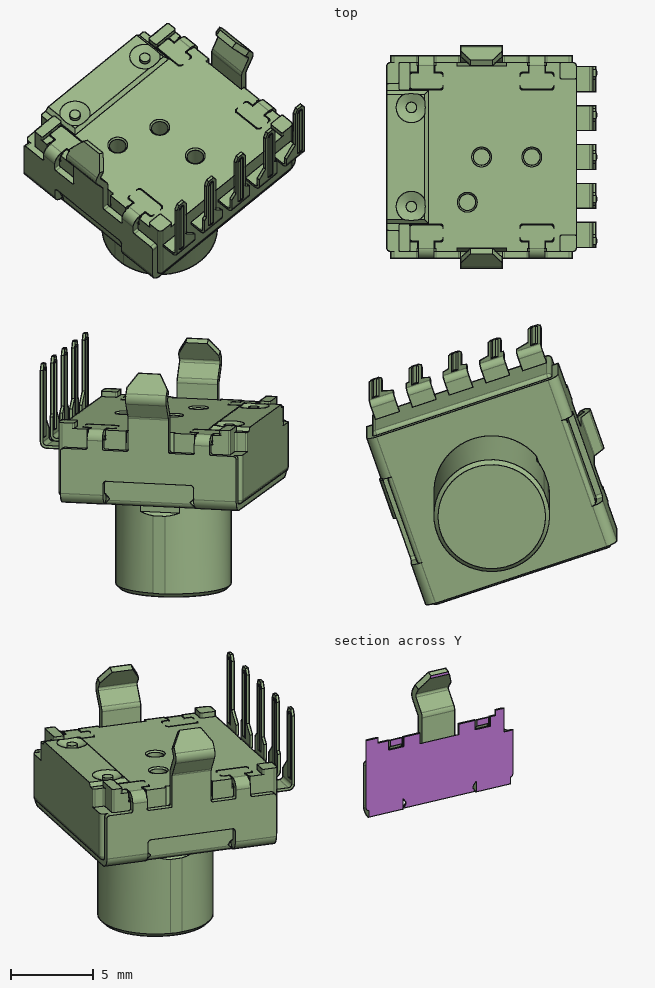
import math

import cadquery as cq


BODY_LENGTH = 11.5
BODY_WIDTH = 11.46
BODY_TOP = 4.6
EDGE_RADIUS = 0.25

SHEET = 0.4
SHELL_LENGTH = 11.0
SHELL_TOP = 3.43
SHELL_CORNER_RADIUS = 0.2
ROOT_RADIUS = 0.12
SHELL_BEND = EDGE_RADIUS + SHEET
BODY_BOTTOM = SHEET
BODY_SIDE = BODY_WIDTH / 2
SHELL_SIDE = BODY_SIDE + SHEET

RECESS_LENGTH = 5.66
RECESS_TOP = 1.52
RECESS_DEPTH = 0.4
RECESS_CORNER_RADIUS = 0.2
RECESS_EDGE_RADIUS = 0.29
END_CONE_RADIUS = 0.32
END_CONE_HEIGHT = 0.38

TAB_POSITIONS = (-3.35, 3.35)
TAB_NECK_WIDTH = 0.95
TAB_HEAD_WIDTH = 2.05
TAB_HEAD_OUTER_Y = 5.09
TAB_HEAD_INNER_Y = 4.11
TAB_BEND = 0.6
TAB_CORNER_RADIUS = 0.22
TAB_SEAT_CORNER_RADIUS = 0.15
TAB_GAP = 0.05
TAB_SLOT_CLEARANCE = 0.1

SNAP_WIDTH = 2.53
SNAP_KNEE_HEIGHT = 5.48
SNAP_KNEE_RADIUS = 0.2
SNAP_BEND_HEIGHT = 6.75
SNAP_BEND_RADIUS = 0.6
SNAP_REACH = 6.75
SNAP_TIP_HEIGHT = 8.24
SNAP_TIP_ANGLE = 34
SNAP_TIP_WIDTH = 1.35
SNAP_TIP_TAPER_HEIGHT = 0.82
SNAP_RELIEF_WIDTH = 3.0
SNAP_RELIEF_DEPTH = 0.23

PLATFORM_HEIGHT = 0.23
PLATFORM_CHAMFER_MARGIN = 0.001
PLATFORM_LENGTH = 2.53
PLATFORM_WIDTH = 8.04

FOOT_TOP = 4.93
FOOT_CORNER_RADIUS = 0.1
REAR_FOOT_SIZE = 1.0
FRONT_FOOT_X = (-5.0, -4.33)
FRONT_FOOT_INNER_Y = 4.05

NOTCH_INNER_Y = 4.44
NOTCH_RADIUS = 0.12

DIMPLE_CENTRES = ((-4.25, 3.0), (-4.25, -3.0))
DIMPLE_RADIUS = 0.92
DIMPLE_DEPTH = 0.3
DIMPLE_PIN_RADIUS = 0.32
DIMPLE_PIN_DROP = 0.08

HOLE_CENTRES = ((0.0, 0.0), (3.04, 0.0), (-0.86, -2.74))
HOLE_RADIUS = 0.5
HOLE_CHAMFER = 0.1
HOLE_DEPTH = 1.5

SHAFT_RADIUS = 3.5
SHAFT_LENGTH = 6.0
SHAFT_CHAMFER = 0.25
SHAFT_FLAT_Y = 3.28
SHAFT_FLAT_LENGTH = 0.78
SHAFT_LAND_Y = 3.48

PIN_COUNT = 5
PIN_BASE_PITCH = 2.35
PIN_TIP_PITCH = 2.54
PIN_BASE_WIDTH = 1.52
PIN_WIDTH = 0.8
PIN_TIP_WIDTH = 0.43
PIN_TIP_TAPER = 0.37
PIN_THICKNESS = 0.18
PIN_BOTTOM = 3.25
PIN_TOP = 8.4
PIN_OUTER_X = 6.92
PIN_BEND = 0.4
PIN_SHOULDER_TOP = 4.9
PIN_ROOT_X = 5.5

RIB_BOTTOM = 3.88
RIB_TOP = 8.15
RIB_HEIGHT = 0.06
GROOVE_WIDTH = 0.5
GROOVE_FLOOR_WIDTH = 0.2
RIDGE_WIDTH = 0.44


def box(x_range, y_range, z_range):
    """Box between two limits on each axis."""
    lower = (x_range[0], y_range[0], z_range[0])
    size = [limits[1] - limits[0] for limits in (x_range, y_range, z_range)]
    return cq.Workplane("XY").box(*size, centered=False).translate(lower)


def centred(width, middle=0.0):
    """Limits of a span of the given width."""
    return (middle - width / 2, middle + width / 2)


def extrude_along_x(profile, x_range):
    """Extrude a closed YZ profile between two X limits."""
    return profile.extrude(x_range[1] - x_range[0]).translate((x_range[0], 0, 0))


def both_sides(solid):
    """Pair a feature of the +Y side with its mirror image."""
    return solid.union(solid.mirror("XZ"))


def make_body():
    """Rounded block with the raised platform and corner feet, before any cuts."""
    half_length = BODY_LENGTH / 2
    block = box(centred(BODY_LENGTH), centred(BODY_WIDTH), (BODY_BOTTOM, BODY_TOP))
    block = block.edges("|Z or <Z").fillet(EDGE_RADIUS)
    platform = box(
        (-half_length, PLATFORM_LENGTH - half_length),
        centred(PLATFORM_WIDTH),
        (BODY_TOP, BODY_TOP + PLATFORM_HEIGHT),
    )
    platform = platform.faces(">Z").edges("not <X").chamfer(PLATFORM_HEIGHT - PLATFORM_CHAMFER_MARGIN)
    rear_foot = box(
        (half_length - REAR_FOOT_SIZE, half_length),
        (BODY_SIDE - REAR_FOOT_SIZE, BODY_SIDE),
        (BODY_TOP - EDGE_RADIUS, FOOT_TOP),
    )
    rear_foot = rear_foot.edges("|Z and (not (>X and >Y))").fillet(FOOT_CORNER_RADIUS)
    rear_foot = rear_foot.edges("|Z and >X and >Y").fillet(EDGE_RADIUS)
    front_foot = box(FRONT_FOOT_X, (FRONT_FOOT_INNER_Y, BODY_SIDE), (BODY_TOP - EDGE_RADIUS, FOOT_TOP))
    front_foot = front_foot.edges("|Z").fillet(FOOT_CORNER_RADIUS)
    return block.union(platform).union(both_sides(rear_foot.union(front_foot)))


def corner_notch():
    """Cutter for the -X, +Y body corner, rounded where it meets the body sides."""
    outside = -BODY_LENGTH / 2
    inner_x = FRONT_FOOT_X[0]
    radius = NOTCH_RADIUS
    profile = (
        cq.Workplane("XY")
        .moveTo(outside, NOTCH_INNER_Y - radius)
        .radiusArc((outside + radius, NOTCH_INNER_Y), radius)
        .lineTo(inner_x - radius, NOTCH_INNER_Y)
        .radiusArc((inner_x, NOTCH_INNER_Y + radius), -radius)
        .lineTo(inner_x, BODY_SIDE - FOOT_CORNER_RADIUS)
        .radiusArc((inner_x + FOOT_CORNER_RADIUS, BODY_SIDE), FOOT_CORNER_RADIUS)
        .lineTo(inner_x + FOOT_CORNER_RADIUS, BODY_WIDTH)
        .lineTo(2 * outside, BODY_WIDTH)
        .lineTo(2 * outside, NOTCH_INNER_Y - radius)
        .close()
    )
    return profile.extrude(FOOT_TOP - SHELL_TOP).translate((0, 0, SHELL_TOP))


def snap_relief():
    """Sloping cutter that clears the body side behind a snap arm."""
    profile = (
        cq.Workplane("YZ")
        .moveTo(BODY_SIDE, SHELL_TOP)
        .lineTo(BODY_SIDE, BODY_TOP)
        .lineTo(BODY_SIDE - SNAP_RELIEF_DEPTH, BODY_TOP)
        .close()
    )
    return extrude_along_x(profile, centred(SNAP_RELIEF_WIDTH))


def tab_seat(x):
    """Cutter for the pocket and side slot that receive one folded tab."""
    head = box(
        centred(TAB_HEAD_WIDTH, x),
        (TAB_HEAD_INNER_Y - TAB_GAP, TAB_HEAD_OUTER_Y + TAB_GAP),
        (BODY_TOP - SHEET, BODY_TOP),
    )
    head = head.edges("|Z").fillet(TAB_SEAT_CORNER_RADIUS)
    neck = box(
        centred(TAB_NECK_WIDTH + 2 * TAB_GAP, x),
        (TAB_HEAD_OUTER_Y, BODY_SIDE),
        (BODY_TOP - SHEET, BODY_TOP),
    )
    slot = box(
        centred(TAB_NECK_WIDTH + 2 * TAB_SLOT_CLEARANCE, x),
        (SHELL_SIDE - TAB_BEND, BODY_SIDE),
        (BODY_TOP - TAB_BEND, BODY_TOP),
    )
    return head.union(neck).union(slot)


def make_dimple(x, y):
    """Conical cutter that leaves a round pin standing in its middle."""
    top = BODY_TOP + PLATFORM_HEIGHT
    profile = (
        cq.Workplane("XZ")
        .moveTo(DIMPLE_PIN_RADIUS, top - DIMPLE_DEPTH)
        .lineTo(DIMPLE_RADIUS, top)
        .lineTo(0, top)
        .lineTo(0, top - DIMPLE_PIN_DROP)
        .lineTo(DIMPLE_PIN_RADIUS, top - DIMPLE_PIN_DROP)
        .close()
    )
    return profile.revolve(360, (0, 0, 0), (0, 1, 0)).translate((x, y, 0))


def make_hole(x, y):
    """Cutter for a blind hole with a chamfered rim."""
    profile = (
        cq.Workplane("XZ")
        .moveTo(0, BODY_TOP)
        .lineTo(HOLE_RADIUS + HOLE_CHAMFER, BODY_TOP)
        .lineTo(HOLE_RADIUS, BODY_TOP - HOLE_CHAMFER)
        .lineTo(HOLE_RADIUS, BODY_TOP - HOLE_DEPTH)
        .lineTo(0, BODY_TOP - HOLE_DEPTH)
        .close()
    )
    return profile.revolve(360, (0, 0, 0), (0, 1, 0)).translate((x, y, 0))


def cut_body(body):
    """Cut the notches, tab seats, dimples and holes."""
    side_cuts = corner_notch().union(snap_relief())
    for x in TAB_POSITIONS:
        side_cuts = side_cuts.union(tab_seat(x))
    body = body.cut(both_sides(side_cuts))
    for centre in DIMPLE_CENTRES:
        body = body.cut(make_dimple(*centre))
    for centre in HOLE_CENTRES:
        body = body.cut(make_hole(*centre))
    return body


def make_recess():
    """Cutter along the lower edge of the +Y shell side; a half cone deepens each end."""
    floor_y = SHELL_SIDE - RECESS_DEPTH
    radius = RECESS_EDGE_RADIUS
    block = box(centred(RECESS_LENGTH), (floor_y - radius, SHELL_SIDE), (0, RECESS_TOP))
    block = block.edges("|Y and >Z").fillet(RECESS_CORNER_RADIUS)
    kept = box(centred(RECESS_LENGTH), (floor_y - 2 * radius, floor_y), (0, 2 * RECESS_TOP))
    kept = kept.edges("|X and >Y and <Z").fillet(radius)
    recess = block.cut(kept)
    for side in (-1, 1):
        base = cq.Vector(side * RECESS_LENGTH / 2, floor_y, END_CONE_HEIGHT)
        inward = cq.Vector(-side, 0, 0)
        cone = cq.Solid.makeCone(END_CONE_RADIUS, 0, END_CONE_RADIUS, base, inward)
        recess = recess.union(cq.Workplane(cone))
    return recess


def fold_tab(x):
    """T-shaped tab that rises from the +Y shell side and folds over the body top."""
    bend_y = SHELL_SIDE - TAB_BEND
    bend_z = BODY_TOP - TAB_BEND
    inner_bend = TAB_BEND - SHEET
    neck = (
        cq.Workplane("YZ")
        .moveTo(SHELL_SIDE, SHELL_TOP)
        .lineTo(SHELL_SIDE, bend_z)
        .radiusArc((bend_y, BODY_TOP), -TAB_BEND)
        .lineTo(TAB_HEAD_OUTER_Y, BODY_TOP)
        .lineTo(TAB_HEAD_OUTER_Y, BODY_TOP - SHEET)
        .lineTo(bend_y, BODY_TOP - SHEET)
        .radiusArc((bend_y + inner_bend, bend_z), inner_bend)
        .lineTo(BODY_SIDE, SHELL_TOP)
        .close()
    )
    head = box(
        centred(TAB_HEAD_WIDTH, x),
        (TAB_HEAD_INNER_Y, TAB_HEAD_OUTER_Y),
        (BODY_TOP - SHEET, BODY_TOP),
    )
    head = head.edges("|Z").fillet(TAB_CORNER_RADIUS)
    return extrude_along_x(neck, centred(TAB_NECK_WIDTH, x)).union(head)


def snap_arm():
    """Arm on the +Y side that leans out, bends back and ends in a tapered tip."""
    bend_y = SNAP_REACH - SNAP_BEND_RADIUS
    bend_z = SNAP_BEND_HEIGHT
    inner_radius = SNAP_BEND_RADIUS - SHEET
    knee_y = SHELL_SIDE + SNAP_KNEE_RADIUS
    knee_dy = bend_y - knee_y
    knee_dz = bend_z - SNAP_KNEE_HEIGHT
    radius_sum = SNAP_KNEE_RADIUS + SNAP_BEND_RADIUS
    lean = math.atan2(knee_dy, knee_dz) + math.asin(radius_sum / math.hypot(knee_dy, knee_dz))
    tip = math.radians(SNAP_TIP_ANGLE)

    def on_bend(radius, angle):
        return (bend_y + radius * math.cos(angle), bend_z + radius * math.sin(angle))

    def on_knee(radius):
        return (knee_y - radius * math.cos(lean), SNAP_KNEE_HEIGHT + radius * math.sin(lean))

    upper_outer = on_bend(SNAP_BEND_RADIUS, tip)
    upper_inner = on_bend(inner_radius, tip)
    tip_length = (SNAP_TIP_HEIGHT - upper_outer[1]) / math.cos(tip)
    tip_dy = -tip_length * math.sin(tip)
    tip_dz = tip_length * math.cos(tip)
    knee_inner_radius = SNAP_KNEE_RADIUS + SHEET
    profile = (
        cq.Workplane("YZ")
        .moveTo(SHELL_SIDE, SHELL_TOP)
        .lineTo(SHELL_SIDE, SNAP_KNEE_HEIGHT)
        .radiusArc(on_knee(SNAP_KNEE_RADIUS), SNAP_KNEE_RADIUS)
        .lineTo(*on_bend(SNAP_BEND_RADIUS, -lean))
        .radiusArc(upper_outer, -SNAP_BEND_RADIUS)
        .lineTo(upper_outer[0] + tip_dy, upper_outer[1] + tip_dz)
        .lineTo(upper_inner[0] + tip_dy, upper_inner[1] + tip_dz)
        .lineTo(*upper_inner)
        .radiusArc(on_bend(inner_radius, -lean), inner_radius)
        .lineTo(*on_knee(knee_inner_radius))
        .radiusArc((BODY_SIDE, SNAP_KNEE_HEIGHT), -knee_inner_radius)
        .lineTo(BODY_SIDE, SHELL_TOP)
        .close()
    )
    arm = extrude_along_x(profile, centred(SNAP_WIDTH))
    taper_length = SNAP_TIP_TAPER_HEIGHT / math.cos(tip)
    tip_inset = (SNAP_WIDTH - SNAP_TIP_WIDTH) / 2
    tip_plane = cq.Plane(
        origin=(0, upper_outer[0] + tip_dy, upper_outer[1] + tip_dz),
        xDir=(1, 0, 0),
        normal=(0, math.cos(tip), math.sin(tip)),
    )
    for side in (-1, 1):
        edge = side * SNAP_WIDTH / 2
        corner = (
            cq.Workplane(tip_plane)
            .moveTo(edge, 0)
            .lineTo(edge - side * tip_inset, 0)
            .lineTo(edge, taper_length)
            .close()
            .extrude(SHEET, both=True)
        )
        arm = arm.cut(corner)
    return arm


def round_shell_edges(shell):
    """Round the outer corners of the shell sides and the roots of the tabs and arms."""
    tolerance = 1e-4

    def rim_edges(x_middle, half_width):
        edges = []
        for edge in shell.edges("|Y").vals():
            middle = edge.Center()
            at_top = abs(middle.z - SHELL_TOP) < tolerance
            if at_top and abs(abs(middle.x - x_middle) - half_width) < tolerance:
                edges.append(edge)
        return edges

    roots = rim_edges(0, SNAP_WIDTH / 2)
    for x in TAB_POSITIONS:
        roots += rim_edges(x, TAB_NECK_WIDTH / 2)
    corners = rim_edges(0, SHELL_LENGTH / 2)
    shell = shell.newObject(roots).fillet(ROOT_RADIUS)
    return shell.newObject(corners).fillet(SHELL_CORNER_RADIUS)


def make_shell():
    """U-shaped sheet with its tabs and snap arms."""
    outer = box(centred(SHELL_LENGTH), centred(2 * SHELL_SIDE), (0, SHELL_TOP))
    outer = outer.edges("|X and <Z").fillet(SHELL_BEND)
    inner = box(centred(SHELL_LENGTH), centred(BODY_WIDTH), (SHEET, SHELL_TOP))
    inner = inner.edges("|X and <Z").fillet(EDGE_RADIUS)
    uprights = snap_arm()
    for x in TAB_POSITIONS:
        uprights = uprights.union(fold_tab(x))
    return round_shell_edges(outer.cut(inner).union(both_sides(uprights)))


def make_shaft():
    """Round shaft with a chamfered end, side flats under the shell and narrow lands below them."""
    shaft = cq.Workplane("XY").circle(SHAFT_RADIUS).extrude(-SHAFT_LENGTH)
    shaft = shaft.faces("<Z").chamfer(SHAFT_CHAMFER)
    ramp_end = SHAFT_FLAT_LENGTH + SHAFT_LAND_Y - SHAFT_FLAT_Y
    profile = (
        cq.Workplane("YZ")
        .moveTo(SHAFT_FLAT_Y, 0)
        .lineTo(SHAFT_FLAT_Y, -SHAFT_FLAT_LENGTH)
        .lineTo(SHAFT_LAND_Y, -ramp_end)
        .lineTo(SHAFT_LAND_Y, -SHAFT_LENGTH)
        .lineTo(SHAFT_RADIUS, -SHAFT_LENGTH)
        .lineTo(SHAFT_RADIUS, 0)
        .close()
    )
    return shaft.cut(both_sides(extrude_along_x(profile, centred(2 * SHAFT_RADIUS))))


def pin_rib(y, width, floor_width, face_x, depth):
    """Bar of trapezoid section with a tapered top, narrowing from face_x along X."""

    def outline(bar_width):
        half = bar_width / 2
        return [
            (y - half, RIB_BOTTOM),
            (y + half, RIB_BOTTOM),
            (y + half, RIB_TOP - half),
            (y + half / 2, RIB_TOP),
            (y - half / 2, RIB_TOP),
            (y - half, RIB_TOP - half),
        ]

    face = cq.Workplane("YZ", origin=(face_x, 0, 0)).polyline(outline(width)).close()
    return face.workplane(offset=depth).polyline(outline(floor_width)).close().loft(ruled=True)


def pin_edge(base_y, tip_y, side):
    """Points up one edge of a pin; the shoulder exists only where the foot is wider than the blade."""
    foot_edge = base_y + side * PIN_BASE_WIDTH / 2
    blade_edge = tip_y + side * PIN_WIDTH / 2
    shoulder = side * (foot_edge - blade_edge)
    blade = [
        (blade_edge, PIN_TOP - PIN_TIP_TAPER),
        (tip_y + side * PIN_TIP_WIDTH / 2, PIN_TOP),
    ]
    if shoulder <= 0:
        return [(blade_edge, PIN_BOTTOM)] + blade
    foot = [
        (foot_edge, PIN_BOTTOM),
        (foot_edge, PIN_SHOULDER_TOP - shoulder),
        (blade_edge, PIN_SHOULDER_TOP),
    ]
    return foot + blade


def make_pin(index):
    """Bent terminal pin with a wide foot, 45 degree shoulders and a coined rib."""
    base_y = index * PIN_BASE_PITCH
    tip_y = index * PIN_TIP_PITCH
    inner_bend = PIN_BEND - PIN_THICKNESS
    inner_x = PIN_OUTER_X - PIN_THICKNESS
    side_profile = (
        cq.Workplane("XZ")
        .moveTo(PIN_ROOT_X, PIN_BOTTOM)
        .lineTo(PIN_OUTER_X - PIN_BEND, PIN_BOTTOM)
        .radiusArc((PIN_OUTER_X, PIN_BOTTOM + PIN_BEND), -PIN_BEND)
        .lineTo(PIN_OUTER_X, PIN_TOP)
        .lineTo(inner_x, PIN_TOP)
        .lineTo(inner_x, PIN_BOTTOM + PIN_BEND)
        .radiusArc((inner_x - inner_bend, PIN_BOTTOM + PIN_THICKNESS), inner_bend)
        .lineTo(PIN_ROOT_X, PIN_BOTTOM + PIN_THICKNESS)
        .close()
    )
    strip = side_profile.extrude(PIN_TIP_PITCH, both=True).translate((0, tip_y, 0))
    right_edge = pin_edge(base_y, tip_y, 1)
    left_edge = pin_edge(base_y, tip_y, -1)
    front_outline = cq.Workplane("YZ").polyline(right_edge + left_edge[::-1]).close()
    pin = strip.intersect(extrude_along_x(front_outline, (PIN_ROOT_X, PIN_OUTER_X)))
    ridge = pin_rib(tip_y, RIDGE_WIDTH, GROOVE_FLOOR_WIDTH, PIN_OUTER_X, RIB_HEIGHT)
    groove = pin_rib(tip_y, GROOVE_WIDTH, GROOVE_FLOOR_WIDTH, inner_x, RIB_HEIGHT)
    return pin.union(ridge).cut(groove)


def make_part():
    """Join the body and shell, cut the side recesses, then add the shaft and pins."""
    part = cut_body(make_body()).union(make_shell()).cut(both_sides(make_recess()))
    part = part.union(make_shaft())
    for number in range(PIN_COUNT):
        part = part.union(make_pin(number - PIN_COUNT // 2))
    return part


result = make_part()